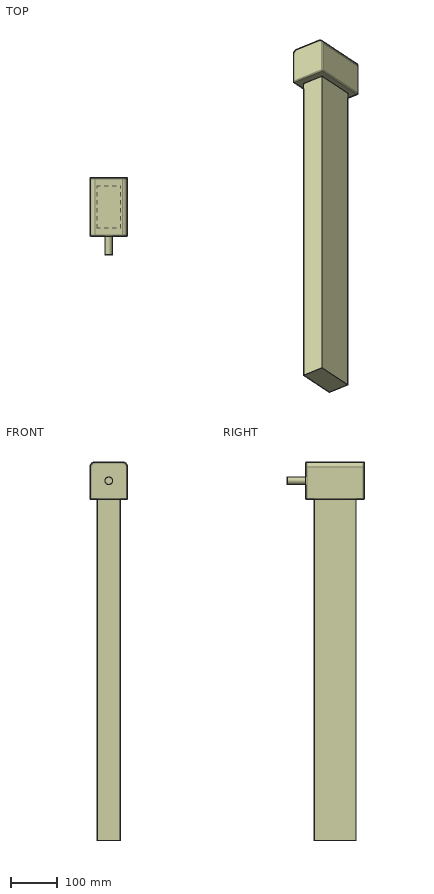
import cadquery as cq

total_height = 810.0
total_depth = 165.0

head_width = 80.0
head_height = 80.0
shaft_length = 40.0
head_depth = total_depth - shaft_length
top_edge_radius = 10.5
small_edge_radius = 2.5

post_width = 50.0
post_depth = 90.0
post_height = total_height - head_height

shaft_diameter = 16.0
shaft_height = post_height + head_height / 2


def make_head():
    """Block with large rounds along its top sides and small rounds on the other edges."""
    block = cq.Workplane("XY").workplane(offset=post_height)
    block = block.rect(head_width, head_depth).extrude(head_height)
    block = block.edges("|Y and >Z").fillet(top_edge_radius)
    block = block.edges("|Y and <Z").fillet(small_edge_radius)
    return block.faces("<Y or >Y").edges().fillet(small_edge_radius)


def make_post():
    """Post from the floor to the middle of the head, so the two bodies overlap."""
    return cq.Workplane("XY").rect(post_width, post_depth).extrude(shaft_height)


def make_shaft():
    """Shaft from the middle of the head out through its front face."""
    section = cq.Workplane("XZ").center(0, shaft_height).circle(shaft_diameter / 2)
    return section.extrude(head_depth / 2 + shaft_length)


result = make_head().union(make_post()).union(make_shaft())